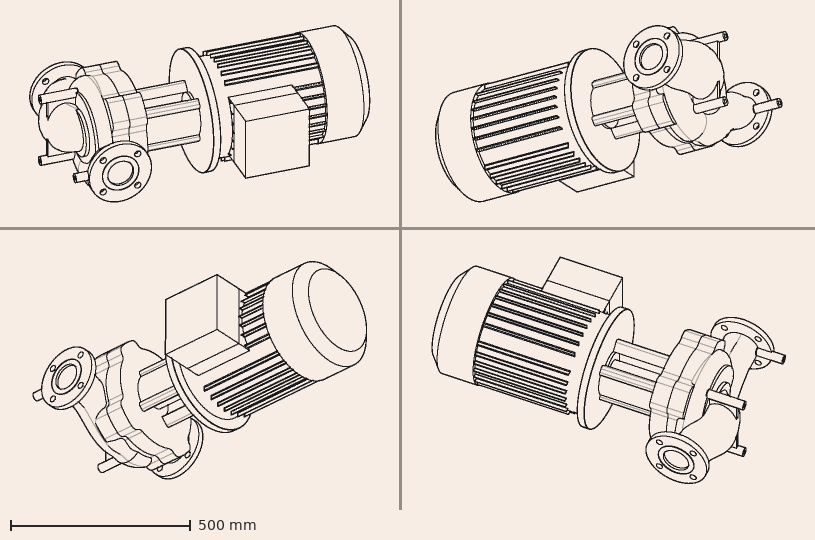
import cadquery as cq
import math


overall_length = 914.0
casing_front = 143.0
casing_joint = 193.0
lantern_foot = 245.0
window_end = 422.0
lantern_top = 430.0
motor_front = 452.0
fin_start = 498.0
fan_cover_start = 775.0

motor_radius = 144.0
fin_radius = 155.0
fin_pitch = 28.0
fin_thickness = 3.0
fins_each_side_of_axis = 3
fan_cover_radius = 157.0
fan_cover_end_radius = 123.0
fan_cover_taper_length = 30.0

box_width = 185.0
box_end = 687.0
box_joint = 157.0
box_outer_face = 249.0
box_root = 91.0

lantern_flange_radius = 175.0
lantern_flange_bevel = 1.0
shell_radius = 75.0
lantern_bore_radius = 54.0
rib_reach = 88.0
rib_width = 27.0
rib_corner_radius = 8.0
shaft_radius = 31.0

rim_radius = 150.0
lug_radius = 175.0
lug_blend_radius = 21.0
lug_tip_half_angle = math.radians(9.7)

volute_center_radius = 118.0
volute_tube_radii = [30.0, 33.0, 40.0, 48.0]
front_plate_radius = 114.0
front_plate_face = 103.0
inlet_boss_radius = 68.0
inlet_boss_face = 93.0

port_center = 129.0
port_radius = 53.0
suction_end = -230.0
discharge_end = 245.0
pipe_flange_radius = 92.0
pipe_flange_thickness = 17.0
raised_face_radius = 54.0
raised_face_height = 2.0
bolt_circle_radius = 72.0
bolt_hole_radius = 9.0
port_recess_radius = 38.0
port_recess_depth = 8.0
pipe_end_depth = 13.0

elbow_cone_end = -99.0
elbow_cone_steps = 4
elbow_pivot_x = -69.0
elbow_pivot_y = 123.0
elbow_depth_radius = 55.0
elbow_half_width = 78.0
elbow_end_half_width = 57.0
elbow_bend_steps = 4

foot_radius = 13.0
foot_hole_radius = 5.5
foot_hole_depth = 18.0
front_foot_x = -50.0
front_foot_z = 100.0
front_foot_length = 111.5
rear_foot_x = 225.0
rear_foot_length = 80.0
foot_rib_width = 10.0
foot_rib_front = 22.0


def plane_at(y):
    """Sketch plane across the shaft, with X to the right and Z up."""
    return cq.Workplane("XZ", origin=(0, y, 0))


def cylinder(radius, start, end):
    """Cylinder about the shaft axis between two positions along Y."""
    return plane_at(start).circle(radius).extrude(start - end)


def block(x_range, y_range, z_range):
    """Box between the given limits."""
    ranges = (x_range, y_range, z_range)
    sizes = [high - low for low, high in ranges]
    middle = tuple((low + high) / 2 for low, high in ranges)
    return cq.Workplane("XY").box(*sizes).translate(middle)


def polar(radius, angle):
    return (radius * math.cos(angle), radius * math.sin(angle))


def make_motor():
    core = cylinder(motor_radius, motor_front, fan_cover_start)
    fins = None
    fin_y = (fin_start, fan_cover_start)
    span = (-fin_radius, fin_radius)
    for index in range(-fins_each_side_of_axis, fins_each_side_of_axis + 1):
        offset = index * fin_pitch
        thin = (offset - fin_thickness / 2, offset + fin_thickness / 2)
        pair = block(thin, fin_y, span).union(block(span, fin_y, thin))
        fins = pair if fins is None else fins.union(pair)
    fins = fins.intersect(cylinder(fin_radius, *fin_y))
    return core.union(fins)


def make_fan_cover():
    taper_start = overall_length - fan_cover_taper_length
    profile = [
        (0, fan_cover_start),
        (fan_cover_radius, fan_cover_start),
        (fan_cover_radius, taper_start),
        (fan_cover_end_radius, overall_length),
        (0, overall_length),
    ]
    return cq.Workplane("XY").polyline(profile).close().revolve(360, (0, 0), (0, 1))


def make_box_part(x_start, x_end):
    return block((x_start, x_end), (fin_start, box_end), (-box_width / 2, box_width / 2))


def make_lugged_disc(start, end):
    """Disc with a lug on every diagonal, blended by one convex and one concave arc per side."""
    tip_center_radius = lug_radius - lug_blend_radius
    root_center_radius = rim_radius + lug_blend_radius
    spread = math.acos(
        (tip_center_radius**2 + root_center_radius**2 - (2 * lug_blend_radius) ** 2)
        / (2 * tip_center_radius * root_center_radius)
    )
    root_half_angle = lug_tip_half_angle + spread

    def side_points(diagonal, side):
        """Rim tangent point, concave arc middle, inflection, convex arc middle, tip tangent point."""
        tip_angle = diagonal + side * lug_tip_half_angle
        root_angle = diagonal + side * root_half_angle
        tip_center = cq.Vector(*polar(tip_center_radius, tip_angle))
        root_center = cq.Vector(*polar(root_center_radius, root_angle))
        rim_point = cq.Vector(*polar(rim_radius, root_angle))
        tip_point = cq.Vector(*polar(lug_radius, tip_angle))
        inflection = (tip_center + root_center) * 0.5

        def arc_middle(center, first, second):
            return center + ((first + second) * 0.5 - center).normalized() * lug_blend_radius

        root_middle = arc_middle(root_center, rim_point, inflection)
        tip_middle = arc_middle(tip_center, inflection, tip_point)
        points = [rim_point, root_middle, inflection, tip_middle, tip_point]
        return [(point.x, point.y) for point in points]

    quarter = math.pi / 2
    outline = plane_at(start).moveTo(*side_points(quarter / 2, -1)[0])
    for index in range(4):
        diagonal = quarter / 2 + index * quarter
        entering = side_points(diagonal, -1)
        leaving = side_points(diagonal, 1)[::-1]
        next_rim_point = side_points(diagonal + quarter, -1)[0]
        outline = (
            outline.threePointArc(entering[1], entering[2])
            .threePointArc(entering[3], entering[4])
            .threePointArc(polar(lug_radius, diagonal), leaving[0])
            .threePointArc(leaving[1], leaving[2])
            .threePointArc(leaving[3], leaving[4])
            .threePointArc(polar(rim_radius, diagonal + quarter / 2), next_rim_point)
        )
    return outline.close().extrude(start - end)


def make_lantern():
    """Bracket with a lugged foot, two open-sided shells with corner ribs, and the motor flange."""
    foot = make_lugged_disc(casing_joint, lantern_foot)
    height = lantern_top - lantern_foot
    ribs = (
        plane_at(lantern_foot)
        .rect(2 * rib_reach, rib_width)
        .extrude(-height)
        .edges("|Y")
        .fillet(rib_corner_radius)
    )
    ribs = ribs.rotate((0, 0, 0), (0, 1, 0), 45).union(ribs.rotate((0, 0, 0), (0, 1, 0), -45))
    wedge_points = [(0, 0), (shell_radius, shell_radius), (shell_radius, -shell_radius)]
    wedge = plane_at(lantern_foot).polyline(wedge_points).close().extrude(-height)
    wedges = wedge.union(wedge.mirror("YZ"))
    shells = cylinder(shell_radius, lantern_foot, lantern_top).intersect(wedges).union(ribs)
    shells = shells.cut(cylinder(lantern_bore_radius, lantern_foot, window_end))
    end_disc = cylinder(lantern_bore_radius, window_end, lantern_top)
    flange = cylinder(lantern_flange_radius, lantern_top, motor_front).edges().chamfer(lantern_flange_bevel)
    return foot.union(shells).union(end_disc).union(flange)


def make_shaft():
    return cylinder(shaft_radius, lantern_foot, window_end)


def tube_section(x, y, z, direction, radius):
    """Circular wire square to a direction angle in the XZ plane."""
    normal = cq.Vector(math.cos(direction), 0, math.sin(direction))
    return cq.Wire.makeCircle(radius, cq.Vector(x, y, z), normal)


def make_volute():
    """Three-quarter scroll whose tube grows towards the bottom."""
    sections = []
    for index, radius in enumerate(volute_tube_radii):
        angle = index * math.pi / 2
        x, z = polar(volute_center_radius, angle)
        sections.append(tube_section(x, casing_front, z, angle + math.pi / 2, radius))
        if index + 1 < len(volute_tube_radii):
            middle_angle = angle + math.pi / 4
            x, z = polar(volute_center_radius, middle_angle)
            middle_radius = (radius + volute_tube_radii[index + 1]) / 2
            sections.append(tube_section(x, casing_front, z, middle_angle + math.pi / 2, middle_radius))
    return cq.Workplane(cq.Solid.makeLoft(sections))


def make_discharge():
    """S-bend of two equal arcs from the bottom of the scroll to the discharge flange."""
    bend_length = discharge_end - pipe_end_depth
    rise = volute_center_radius
    half_chord = math.hypot(bend_length, rise) / 2
    turn = 2 * math.atan2(rise, bend_length)
    bend_radius = half_chord / (2 * math.sin(turn / 2))
    start_radius = volute_tube_radii[-1]
    steps_per_arc = 3
    sections = []
    for step in range(2 * steps_per_arc + 1):
        share = step / (2 * steps_per_arc)
        if step <= steps_per_arc:
            direction = turn * step / steps_per_arc
            x = bend_radius * math.sin(direction)
            z = -rise + bend_radius * (1 - math.cos(direction))
        else:
            direction = turn * (2 - step / steps_per_arc)
            x = bend_length - bend_radius * math.sin(direction)
            z = -bend_radius * (1 - math.cos(direction))
        y = casing_front + share * (port_center - casing_front)
        radius = start_radius + share * (port_radius - start_radius)
        sections.append(tube_section(x, y, z, direction, radius))
    return cq.Workplane(cq.Solid.makeLoft(sections))


def make_suction_elbow():
    """Pipe widening from the suction flange, then turning a quarter about an axis along Z."""
    z_axis = cq.Vector(0, 0, 1)

    def section(x, y, turn, half_across, half_z):
        across = cq.Vector(math.sin(turn), -math.cos(turn), 0)
        normal = z_axis.cross(across)
        return cq.Wire.makeEllipse(half_z, half_across, cq.Vector(x, y, 0), normal, z_axis)

    cone_start = suction_end + pipe_end_depth
    bend_y = elbow_pivot_y - elbow_depth_radius
    sections = []
    for step in range(elbow_cone_steps + 1):
        share = step / elbow_cone_steps
        x = cone_start + share * (elbow_cone_end - cone_start)
        y = port_center + share * (bend_y - port_center)
        half_depth = port_radius + share * (elbow_depth_radius - port_radius)
        swell = math.sin(share * math.pi / 2)
        half_width = port_radius + swell * (elbow_half_width - port_radius)
        sections.append(section(x, y, 0, half_depth, half_width))
    for step in range(elbow_bend_steps + 1):
        turn = step / elbow_bend_steps * math.pi / 2
        x = elbow_pivot_x + elbow_depth_radius * math.sin(turn)
        y = elbow_pivot_y - elbow_depth_radius * math.cos(turn)
        half_width = elbow_end_half_width + math.cos(turn) * (elbow_half_width - elbow_end_half_width)
        sections.append(section(x, y, turn, elbow_depth_radius, half_width))
    return cq.Workplane(cq.Solid.makeLoft(sections))


def make_pipe_flange(face_x, outward):
    """Round flange with raised face and four bolt holes; `outward` is +1 or -1 along X."""

    def disc(radius, start_depth, end_depth):
        """Cylinder along X between two depths measured inward from the raised face."""
        start = face_x - outward * start_depth
        plane = cq.Workplane("YZ", origin=(start, port_center, 0))
        return plane.circle(radius).extrude(-outward * (end_depth - start_depth))

    back = raised_face_height + pipe_flange_thickness
    flange = disc(pipe_flange_radius, raised_face_height, back)
    flange = flange.union(disc(raised_face_radius, 0, back))
    flange = flange.cut(disc(port_recess_radius, 0, port_recess_depth))
    bolt_hole = disc(bolt_hole_radius, 0, back).translate((0, bolt_circle_radius, 0))
    for index in range(4):
        angle = 45 + 90 * index
        flange = flange.cut(bolt_hole.rotate((0, port_center, 0), (1, port_center, 0), angle))
    return flange


def make_casing(feet):
    casing = make_lugged_disc(casing_front, casing_joint)
    casing = casing.union(cylinder(front_plate_radius, front_plate_face, casing_joint))
    casing = casing.union(cylinder(inlet_boss_radius, inlet_boss_face, casing_joint))
    casing = casing.union(make_volute())
    casing = casing.union(make_discharge().union(make_pipe_flange(discharge_end, 1)))
    casing = casing.union(make_suction_elbow().union(make_pipe_flange(suction_end, -1)))
    rib = block(
        (front_foot_x - foot_rib_width / 2, front_foot_x + foot_rib_width / 2),
        (foot_rib_front, casing_front),
        (-front_foot_z, front_foot_z),
    )
    casing = casing.union(rib)
    for foot in feet:
        casing = casing.cut(foot)
    return casing


def make_foot(x, z, length):
    """Round foot with a blind hole in its tip."""
    hole = cylinder(foot_hole_radius, 0, foot_hole_depth)
    return cylinder(foot_radius, 0, length).cut(hole).translate((x, 0, z))


motor = make_motor()
fan_cover = make_fan_cover()
terminal_base = make_box_part(box_root, box_joint).cut(motor)
terminal_lid = make_box_part(box_joint, box_outer_face)
lantern = make_lantern()
shaft = make_shaft()
foot_places = [
    (front_foot_x, front_foot_z, front_foot_length),
    (front_foot_x, -front_foot_z, front_foot_length),
    (rear_foot_x, 0, rear_foot_length),
]
feet = [make_foot(*place) for place in foot_places]
casing = make_casing(feet)

result = cq.Compound.makeCompound(
    [
        motor.val(),
        fan_cover.val(),
        terminal_base.val(),
        terminal_lid.val(),
        lantern.val(),
        shaft.val(),
        casing.val(),
        *[foot.val() for foot in feet],
    ]
)